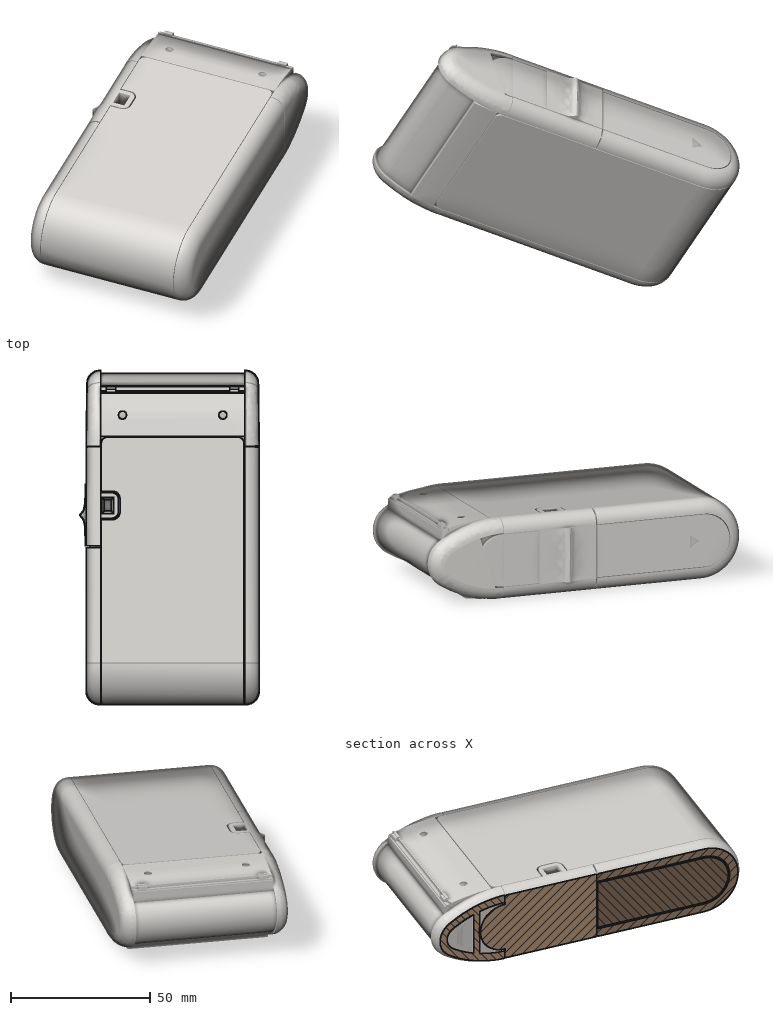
import cadquery as cq
import math

LENGTH = 120.0
HALF_HEIGHT = 15.0
CORE_HALF_WIDTH = 25.8
CAP_OUTER_X = 31.1
CAP_FILLET = 5.0
GAP = 0.4
SEAM = 0.2
TENON_DROP = 1.3
TENON_HALF_HEIGHT = 13.1

TAPER_Y = 92.7
TIP_RADIUS = 9.7
TIP_CENTER_Y = LENGTH - TIP_RADIUS
TIP_OFFSET_Y = TIP_CENTER_Y - TAPER_Y
TAPER_RADIUS = (TIP_OFFSET_Y**2 + HALF_HEIGHT**2 - TIP_RADIUS**2) / (2 * (HALF_HEIGHT - TIP_RADIUS))
TAPER_CENTER_Z = HALF_HEIGHT - TAPER_RADIUS
TANGENT_ANGLE = math.atan2(-TAPER_CENTER_Z, TIP_OFFSET_Y)

NOSE_FILLET = 4.8
NOSE_LEAN = 0.4
WINDOW_INSET = 4.8
WINDOW_REAR_DEPTH = 1.4
WINDOW_FLOOR_DEPTH = 1.7
WINDOW_GROOVE_DEPTH = 2.0
WINDOW_CREST_DEPTH = 0.4
WINDOW_RIB_Y = (102.3, 103.8, 105.3)
TONGUE_POCKET_DEPTH = 2.6
WINDOW_GROOVE_Y = (109.0, 111.3)

HOUSING_END_Y = 96.0
HOUSING_CORNER = 2.2
JOINT_DEPTH = 1.0
HEAD_TOP_RADIUS = 80.4
HEAD_INSET = 1.02
HEAD_BOTTOM_END_Y = 105.3
SLOT_Y = 111.8
SLOT_DEPTH = 1.2
LIP_Z = 13.2
LIP_Y = 112.7
LEDGE_Z = 12.2
LEDGE_Y = 114.0
LOW_LEDGE_Z = 11.8
LOW_LEDGE_Y = 114.5
HOOK_INNER_X = 20.4
HOOK_OUTER_X = 23.8
HOOK_LOW_Z = 13.4
HOOK_HIGH_Z = 13.8
HOOK_STEP_Y = 113.1
DIMPLE_X = 18.0
DIMPLE_Y = 103.9
DIMPLE_DIAMETER = 2.9
DIMPLE_DEPTH = 0.5

LATCH_Y = 71.5
LATCH_LENGTH = 9.1
LATCH_INNER_X = -19.4
LATCH_CORNER = 2.4
LATCH_GAP = 0.6
LATCH_DEPTH = 6.0
DISH_X = (-25.4, -21.1)
DISH_LENGTH = 5.9
DISH_DEPTH = 4.8
DISH_DRAFT = 1.0

SLIDER_REAR_Y = 57.0
REAR_CAP_END_Y = 56.4
BAND_HALF = HALF_HEIGHT - CAP_FILLET
PLATE_HALF = BAND_HALF - GAP
PLATE_THICKNESS = 1.8
TONGUE_DROP = 0.1
PAD_END_Y = 79.1
PAD_RISE = 0.3
RIDGE_TIP_X = 33.4
RIDGE_Y = 68.0
RIDGE_FOOT = 1.9
RIDGE_CROWN = 0.3
ARROW_BASE_Y = 20.6
ARROW_TIP_Y = 16.8
ARROW_HALF = 2.5
ARROW_DEPTH = 0.2


def box(x0, x1, y0, y1, z0, z1):
    return cq.Workplane("XY").box(x1 - x0, y1 - y0, z1 - z0, centered=False).translate((x0, y0, z0))


def side_sketch(x):
    """Workplane at X = x whose local axes are Y and Z."""
    return cq.Workplane("YZ", origin=(x, 0, 0))


def point_on_circle(radius, center, angle):
    return (center[0] + radius * math.cos(angle), center[1] + radius * math.sin(angle))


def nose_outline(sketch, inset=0.0):
    """Closed nose outline ahead of TAPER_Y, moved inward by inset."""
    tip_radius = TIP_RADIUS - inset
    taper_radius = TAPER_RADIUS - inset
    tangent = point_on_circle(tip_radius, (TIP_CENTER_Y, 0), TANGENT_ANGLE)
    taper_angle = (TANGENT_ANGLE + math.pi / 2) / 2
    taper_mid = point_on_circle(taper_radius, (TAPER_Y, TAPER_CENTER_Z), taper_angle)
    half = HALF_HEIGHT - inset
    return (
        sketch.moveTo(TAPER_Y, -half)
        .threePointArc((taper_mid[0], -taper_mid[1]), (tangent[0], -tangent[1]))
        .threePointArc((TIP_CENTER_Y + tip_radius, 0), tangent)
        .threePointArc(taper_mid, (TAPER_Y, half))
        .close()
    )


def round_ended(sketch, half, end_y):
    """Outline with a round rear end about Y = HALF_HEIGHT and a square front end."""
    return (
        sketch.moveTo(end_y, half)
        .lineTo(HALF_HEIGHT, half)
        .threePointArc((HALF_HEIGHT - half, 0), (HALF_HEIGHT, -half))
        .lineTo(end_y, -half)
        .close()
    )


def cap_shell(end_y):
    cap_thickness = CAP_OUTER_X - CORE_HALF_WIDTH
    shell = round_ended(side_sketch(CORE_HALF_WIDTH), HALF_HEIGHT, LENGTH).extrude(cap_thickness)
    shell = shell.faces(">X").edges("not(>Y)").fillet(CAP_FILLET)
    return shell.intersect(box(0, LENGTH, 0, end_y, -LENGTH, LENGTH))


def front_cap():
    cap = nose_outline(side_sketch(CORE_HALF_WIDTH)).extrude(CAP_OUTER_X - CORE_HALF_WIDTH)
    lean = (
        cq.Workplane("XY", origin=(0, 0, -HALF_HEIGHT))
        .polyline([(CAP_OUTER_X, TAPER_Y), (CAP_OUTER_X - NOSE_LEAN, LENGTH), (CAP_OUTER_X, LENGTH)])
        .close()
        .extrude(2 * HALF_HEIGHT)
    )
    cap = cap.cut(lean)
    return cap.faces(">X").edges("not(<Y)").fillet(NOSE_FILLET)


def mirrored(body):
    return body.mirror("YZ")


def tongue_outline(half, rear_y):
    """Strip with a round front end, on the floor of the tongue pocket."""
    return (
        side_sketch(CAP_OUTER_X - TONGUE_POCKET_DEPTH)
        .moveTo(rear_y, -half)
        .lineTo(TAPER_Y, -half)
        .threePointArc((TAPER_Y + half, 0), (TAPER_Y, half))
        .lineTo(rear_y, half)
        .close()
    )


def cap_tenon(start_y, end_y):
    """Low strip that bridges the joint ahead of a cap segment."""
    return box(
        CORE_HALF_WIDTH, CAP_OUTER_X - TENON_DROP, start_y, end_y, -TENON_HALF_HEIGHT, TENON_HALF_HEIGHT
    )


def window_cutter():
    """Recess in the outer face of the front cap, with a rib, a groove and a pocket for the tongue."""
    rib_rear_y, rib_crest_y, rib_front_y = WINDOW_RIB_Y
    depths = [
        (TAPER_Y, WINDOW_REAR_DEPTH),
        (rib_rear_y, WINDOW_REAR_DEPTH),
        (rib_crest_y, WINDOW_CREST_DEPTH),
        (rib_front_y, WINDOW_FLOOR_DEPTH),
        (WINDOW_GROOVE_Y[0], WINDOW_FLOOR_DEPTH),
        (WINDOW_GROOVE_Y[0], WINDOW_GROOVE_DEPTH),
        (WINDOW_GROOVE_Y[1], WINDOW_GROOVE_DEPTH),
        (WINDOW_GROOVE_Y[1], WINDOW_FLOOR_DEPTH),
        (LENGTH, WINDOW_FLOOR_DEPTH),
    ]
    floor = [(CAP_OUTER_X - depth, y) for y, depth in depths]
    above = [(CAP_OUTER_X, LENGTH), (CAP_OUTER_X, TAPER_Y)]
    steps = (
        cq.Workplane("XY", origin=(0, 0, -HALF_HEIGHT))
        .polyline(floor + above)
        .close()
        .extrude(2 * HALF_HEIGHT)
    )
    opening = nose_outline(side_sketch(CORE_HALF_WIDTH), WINDOW_INSET).extrude(HALF_HEIGHT)
    tongue_pocket = tongue_outline(BAND_HALF, TAPER_Y - SEAM).extrude(TONGUE_POCKET_DEPTH)
    return steps.intersect(opening).union(tongue_pocket)


def plain_rear_cap():
    end_y = TAPER_Y - SEAM
    return cap_shell(end_y).union(cap_tenon(end_y, TAPER_Y))


def rear_cap_with_recess():
    recess = round_ended(side_sketch(CAP_OUTER_X - PLATE_THICKNESS), BAND_HALF, REAR_CAP_END_Y)
    cap = cap_shell(REAR_CAP_END_Y).cut(recess.extrude(PLATE_THICKNESS))
    return cap.union(cap_tenon(REAR_CAP_END_Y, SLIDER_REAR_Y))


def side_plate():
    """Flat plate in the recess of the rear cap, engraved with an arrow."""
    plate = round_ended(side_sketch(CAP_OUTER_X - PLATE_THICKNESS), PLATE_HALF, REAR_CAP_END_Y)
    arrow = (
        side_sketch(CAP_OUTER_X - ARROW_DEPTH)
        .polyline([(ARROW_BASE_Y, ARROW_HALF), (ARROW_TIP_Y, 0), (ARROW_BASE_Y, -ARROW_HALF)])
        .close()
        .extrude(ARROW_DEPTH)
    )
    return plate.extrude(PLATE_THICKNESS).cut(arrow)


def thumb_pad():
    """Raised pad whose face sweeps up on both sides to a sharp ridge with a slightly crowned crest."""
    face_x = CAP_OUTER_X + PAD_RISE
    base_x = CAP_OUTER_X - PAD_RISE
    rear_foot = (face_x, RIDGE_Y - RIDGE_FOOT)
    front_foot = (face_x, RIDGE_Y + RIDGE_FOOT)
    crest = (RIDGE_TIP_X, RIDGE_Y)
    pad = (
        cq.Workplane("XY", origin=(0, 0, -BAND_HALF))
        .moveTo(base_x, SLIDER_REAR_Y)
        .lineTo(face_x, SLIDER_REAR_Y)
        .bezier([rear_foot, rear_foot, crest], includeCurrent=True)
        .bezier([front_foot, front_foot, (face_x, PAD_END_Y)], includeCurrent=True)
        .lineTo(base_x, PAD_END_Y)
        .close()
        .extrude(2 * BAND_HALF)
    )
    crown_radius = (BAND_HALF**2 + RIDGE_CROWN**2) / (2 * RIDGE_CROWN)
    crown = (
        cq.Workplane("XZ", origin=(RIDGE_TIP_X - crown_radius, LENGTH, 0))
        .circle(crown_radius)
        .extrude(LENGTH)
    )
    return pad.intersect(crown)


def slider():
    front_y = TAPER_Y - SEAM
    body = cap_shell(front_y).intersect(box(0, LENGTH, SLIDER_REAR_Y, front_y, -LENGTH, LENGTH))
    for low_z in (-BAND_HALF, PLATE_HALF):
        body = body.cut(box(CAP_OUTER_X - GAP, CAP_OUTER_X, PAD_END_Y, front_y, low_z, low_z + GAP))
    tongue = tongue_outline(PLATE_HALF, front_y).extrude(TONGUE_POCKET_DEPTH - TONGUE_DROP)
    body = body.union(cap_tenon(front_y, TAPER_Y))
    return body.union(thumb_pad()).union(tongue)


def latch_block(clearance):
    inner_x = LATCH_INNER_X + clearance
    half = LATCH_LENGTH / 2 + clearance
    block = box(
        -CORE_HALF_WIDTH, inner_x, LATCH_Y - half, LATCH_Y + half, HALF_HEIGHT - LATCH_DEPTH, HALF_HEIGHT
    )
    return block.edges("|Z and >X").fillet(LATCH_CORNER + clearance)


def latch():
    dish_width = DISH_X[1] - DISH_X[0]
    dish_angle = math.degrees(math.atan2(DISH_DRAFT, DISH_DEPTH))
    dish = (
        cq.Workplane("XY", origin=(sum(DISH_X) / 2, LATCH_Y, HALF_HEIGHT))
        .rect(dish_width, DISH_LENGTH)
        .extrude(-DISH_DEPTH, taper=dish_angle)
    )
    return latch_block(0).cut(dish)


def housing():
    """Round-ended block; a slightly smaller core fills the bottom of its joint grooves."""
    outer_half_width = CORE_HALF_WIDTH - SEAM
    outer = round_ended(side_sketch(-outer_half_width), HALF_HEIGHT, HOUSING_END_Y)
    outer = outer.extrude(2 * outer_half_width).edges("|Z and >Y").fillet(HOUSING_CORNER)
    core = round_ended(side_sketch(-CORE_HALF_WIDTH), HALF_HEIGHT - JOINT_DEPTH, HOUSING_END_Y + GAP)
    body = outer.union(core.extrude(2 * CORE_HALF_WIDTH))
    return body.cut(latch_block(LATCH_GAP))


def head_height(y):
    return HALF_HEIGHT - HEAD_TOP_RADIUS + math.sqrt(HEAD_TOP_RADIUS**2 - (y - TAPER_Y) ** 2)


def head_profile():
    rear_y = HOUSING_END_Y + GAP
    tip_radius = TIP_RADIUS - HEAD_INSET
    taper_radius = TAPER_RADIUS - HEAD_INSET
    slot_floor_z = head_height(SLOT_Y) - SLOT_DEPTH
    ledge_foot_z = math.sqrt(tip_radius**2 - (LOW_LEDGE_Y - TIP_CENTER_Y) ** 2)
    tangent = point_on_circle(tip_radius, (TIP_CENTER_Y, 0), -TANGENT_ANGLE)
    step_angle = math.acos((HEAD_BOTTOM_END_Y - TAPER_Y) / taper_radius)
    taper_center = (TAPER_Y, -TAPER_CENTER_Z)
    step = point_on_circle(taper_radius, taper_center, -step_angle)
    taper_mid = point_on_circle(taper_radius, taper_center, -(step_angle + TANGENT_ANGLE) / 2)
    top_mid_y = (rear_y + SLOT_Y) / 2
    bottom_mid_y = (rear_y + HEAD_BOTTOM_END_Y) / 2
    return (
        side_sketch(-CORE_HALF_WIDTH)
        .moveTo(rear_y, head_height(rear_y))
        .threePointArc((top_mid_y, head_height(top_mid_y)), (SLOT_Y, head_height(SLOT_Y)))
        .lineTo(SLOT_Y, slot_floor_z)
        .lineTo(SLOT_Y + GAP, slot_floor_z)
        .lineTo(SLOT_Y + GAP, LIP_Z)
        .lineTo(LIP_Y, LIP_Z)
        .lineTo(LIP_Y, LEDGE_Z)
        .lineTo(LEDGE_Y, LEDGE_Z)
        .lineTo(LEDGE_Y, LOW_LEDGE_Z)
        .lineTo(LOW_LEDGE_Y, LOW_LEDGE_Z)
        .lineTo(LOW_LEDGE_Y, ledge_foot_z)
        .threePointArc((TIP_CENTER_Y + tip_radius, 0), tangent)
        .threePointArc(taper_mid, step)
        .lineTo(HEAD_BOTTOM_END_Y, -head_height(HEAD_BOTTOM_END_Y))
        .threePointArc((bottom_mid_y, -head_height(bottom_mid_y)), (rear_y, -head_height(rear_y)))
        .close()
    )


def head():
    body = head_profile().extrude(2 * CORE_HALF_WIDTH)
    for start_x in (-HOOK_OUTER_X, HOOK_INNER_X):
        end_x = start_x + HOOK_OUTER_X - HOOK_INNER_X
        body = body.union(box(start_x, end_x, SLOT_Y + GAP, LEDGE_Y, LEDGE_Z, HOOK_LOW_Z))
        body = body.union(box(start_x, end_x, SLOT_Y + GAP, HOOK_STEP_Y, LEDGE_Z, HOOK_HIGH_Z))
    dimples = (
        cq.Workplane("XY", origin=(0, DIMPLE_Y, head_height(DIMPLE_Y) - DIMPLE_DEPTH))
        .pushPoints([(-DIMPLE_X, 0), (DIMPLE_X, 0)])
        .circle(DIMPLE_DIAMETER / 2)
        .extrude(HALF_HEIGHT)
    )
    return body.cut(dimples)


left_front_cap = mirrored(front_cap().cut(window_cutter()))
left_rear_cap = mirrored(rear_cap_with_recess())

result = cq.Compound.makeCompound([
    housing().val(),
    head().val(),
    latch().val(),
    left_front_cap.val(),
    left_rear_cap.val(),
    mirrored(side_plate()).val(),
    mirrored(slider()).val(),
    front_cap().val(),
    plain_rear_cap().val(),
])